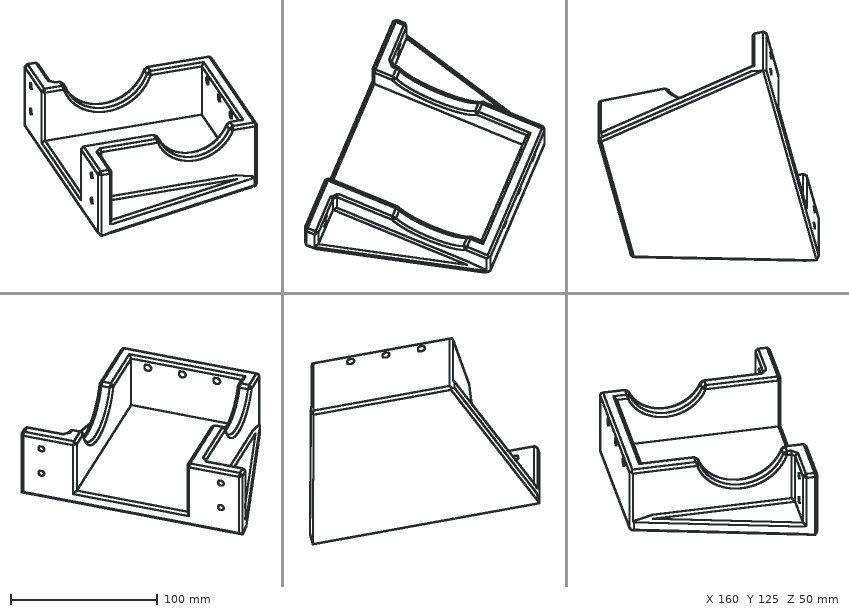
import cadquery as cq

width = 160.0
depth = 125.0
height = 50.0

tray_width = 100.0
pocket_width = 80.0
wall = (tray_width - pocket_width) / 2
chamfer = wall / 5

saddle_axis_height = 58.0
left_saddle_radius = 30.9
left_saddle_y = 46.7
right_saddle_radius = 26.9
right_saddle_y = 80.0

flange_hole_diameter = 4.0
flange_hole_x = 65.0
flange_hole_heights = (20.0, 40.0)
back_hole_diameter = 5.0
back_hole_pitch = 25.0
back_hole_middle_x = -3.0
back_hole_height = 43.0

half_width = width / 2
half_tray = tray_width / 2
half_pocket = pocket_width / 2
tolerance = 0.02
gusset_rim_angle = 45


def upright_body():
    """Tray block with a flange across its front, open pocket and saddles, edges still sharp."""
    tray = cq.Workplane("XY").box(tray_width, depth, height, centered=(True, False, False))
    flange = cq.Workplane("XY").box(width, wall, height, centered=(True, False, False))
    pocket = (
        cq.Workplane("XY", origin=(0, 0, wall))
        .box(pocket_width, depth - wall, height, centered=(True, False, False))
    )
    body = tray.union(flange).cut(pocket)
    body = body.cut(saddle_cutter(-half_tray, left_saddle_y, left_saddle_radius))
    return body.cut(saddle_cutter(half_pocket, right_saddle_y, right_saddle_radius))


def saddle_cutter(wall_start_x, y, radius):
    """Cylinder along X through one side wall."""
    return (
        cq.Workplane("YZ", origin=(wall_start_x, y, saddle_axis_height))
        .circle(radius)
        .extrude(wall)
    )


def is_bevelled(edge):
    """True for every edge but the bottom ones, the pocket's inner corners and the back corners."""
    box = edge.BoundingBox()
    at_bottom = box.zmax < tolerance
    upright_back_corner = box.ymin > depth - tolerance and box.zmin < tolerance
    inside_pocket = (
        abs(box.center.x) < half_pocket + tolerance
        and box.ymax > tolerance
        and box.center.z < height - tolerance
        and edge.geomType() == "LINE"
    )
    return not (at_bottom or upright_back_corner or inside_pocket)


def bevelled_body():
    """Upright body with its exposed and re-entrant outer edges chamfered."""
    body = upright_body()
    edges = [edge for edge in body.edges().vals() if is_bevelled(edge)]
    return body.newObject(edges).chamfer(chamfer)


def sloping_plan(base_z):
    """Plan trapezoid whose sloping sides run on past the flange to the front plane."""
    spread = (half_width - half_tray) * depth / (depth - wall)
    half_front = half_tray + spread
    corners = [(-half_front, 0), (half_front, 0), (half_tray, depth), (-half_tray, depth)]
    return cq.Workplane("XY", origin=(0, 0, base_z)).polyline(corners).close()


def plan_limit():
    """Prism bounding the part in plan, bevelling the front corners and the tray's back corners."""
    back_bevel_reach = half_width - half_tray + chamfer
    right_side = [
        (half_width - chamfer, 0),
        (half_width, chamfer),
        (half_width, depth - back_bevel_reach),
        (half_tray - chamfer, depth),
    ]
    left_side = [(-x, y) for x, y in reversed(right_side)]
    return cq.Workplane("XY").polyline(right_side + left_side).close().extrude(height)


def gusset_plate():
    """Sloping-sided plate with a bevelled upper rim and a sloped strip along the tray walls."""
    rim_start = wall - chamfer
    rim_rise = 2 * chamfer
    lower = sloping_plan(0).extrude(rim_start)
    upper = sloping_plan(rim_start).extrude(rim_rise, taper=gusset_rim_angle)
    plate = cq.Workplane("XY").box(width, depth, wall, centered=(True, False, False))
    strip = (
        cq.Workplane("XZ")
        .polyline([
            (-half_tray - chamfer, wall),
            (half_tray + chamfer, wall),
            (half_tray, wall + chamfer),
            (-half_tray, wall + chamfer),
        ])
        .close()
        .extrude(-depth)
    )
    tray_space = (
        cq.Workplane("XY", origin=(0, 0, wall))
        .box(tray_width, depth, height, centered=(True, False, False))
    )
    return lower.union(upper).intersect(plate.union(strip)).cut(tray_space)


def underside_limit():
    """Sloping-sided prism whose bottom edges are bevelled."""
    return sloping_plan(0).extrude(height).faces("<Z").chamfer(chamfer)


def hole_cutter(diameter, x, y, z):
    """Cylinder along Y through one wall thickness, starting at y."""
    return cq.Workplane("XZ", origin=(x, y, z)).circle(diameter / 2).extrude(-wall)


result = bevelled_body().union(gusset_plate())
result = result.intersect(underside_limit()).intersect(plan_limit())

for hole_z in flange_hole_heights:
    for hole_x in (-flange_hole_x, flange_hole_x):
        result = result.cut(hole_cutter(flange_hole_diameter, hole_x, 0, hole_z))

for step in (-1, 0, 1):
    hole_x = back_hole_middle_x + step * back_hole_pitch
    result = result.cut(hole_cutter(back_hole_diameter, hole_x, depth - wall, back_hole_height))